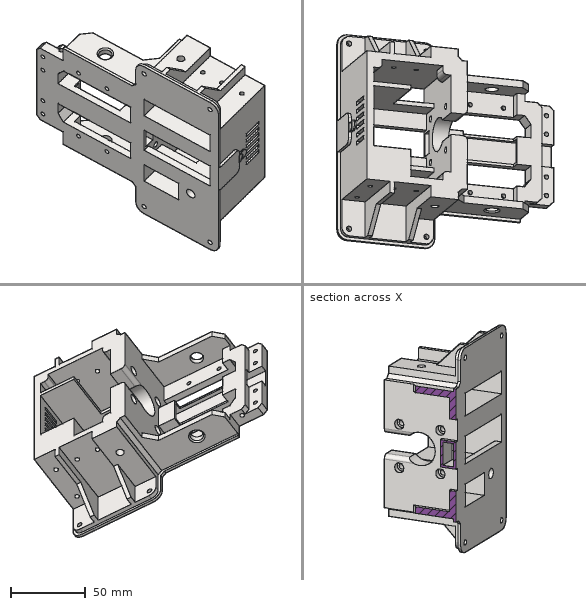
import cadquery as cq


LENGTH = 152.0
DEPTH = 55.0
HEIGHT = 144.0
FLOOR = 5.0
WALL = 5.0
LIP = 2.0
EPS = 0.01

FLANGE_X0 = 82.9
FLANGE_RADIUS = 7.0
BODY_RADIUS = 5.5
BODY_X0 = FLANGE_X0 + LIP
BODY_X1 = LENGTH - LIP
BOX_X0 = 78.4
CAVITY_X0 = BODY_X0 + WALL
CAVITY_X1 = BODY_X1 - WALL
CAVITY_Z = 40.0
OUTER_Z = CAVITY_Z + WALL

TRAY_X0 = 22.0
TRAY_RIM = 6.0
RIM_DEPTH = 11.8
TAB_DEPTH = 7.0
TAB_Z = 35.0
TAB_STEP_X = 10.2
TAB_CHAMFER = 3.0
SIDE_DEPTH = 25.0
SIDE_CHAMFER = 6.4
SIDE_RISE = 8.0
FLANGE_CHAMFER = 3.0

BLOCK_Z = 52.9
BLOCK_X1 = 104.4
BLOCK_CHAMFER = 2.8
RIB_X0 = 130.3
GUSSET_THICKNESS = 3.2
GUSSET_TIP_Z = HEIGHT / 2 - LIP
GUSSET_TIP_DEPTH = 10.2

TRAY_WINDOW_X0 = 17.9
TRAY_WINDOW_Z0 = 9.8
TRAY_WINDOW_Z1 = 25.0
TRAY_WINDOW_CHAMFER_X = 4.5
TRAY_WINDOW_CHAMFER_Z = 5.8
SMALL_WINDOW_X1 = 118.7

SHELF_THICKNESS = 3.0
SHELF_Z1 = 24.0
SHELF_NOTCH_Y = 20.0

CABLE_HALF_WIDTH = 8.0
CABLE_Y0 = 2.2
CABLE_Y1 = 9.8
CABLE_BRIDGE_X0 = 66.0
PORT_RADIUS = 11.6
PORT_Y = 28.4
PORT_SLOT_HALF = 7.6
PORT_FILLET = 3.1

VENT_PITCH = 5.55
VENT_COUNT = 6
VENT_HEIGHT = 2.5
VENT_Y0 = 34.4
VENT_Y1 = 48.4

POST_SIZE = 6.0
POST_RADIUS = 3.0
POST_DEPTH = 18.0

FLANGE_HOLE = 3.5
SMALL_HOLE = 3.0
FLANGE_HOLE_INSET = FLANGE_RADIUS
FLANGE_HOLE_SPACING_Z = 130.0
TAB_HOLE_X = 5.2
TAB_HOLES_Z = (15.0, 28.0)
TRAY_HOLES_X = (35.0, 58.8)
TRAY_HOLE_Z = 30.8
TAB_SIDE_HOLE_X = 15.5
TAB_SIDE_HOLE_DEPTH = 8.0
SIDE_HOLE_X = 46.7
SIDE_HOLE_Y = 14.5
SIDE_HOLE = 9.0
SIDE_HOLE_CHAMFER = 1.0
BLOCK_HOLE_X = 94.5
BLOCK_HOLE_Y = 35.1
BLOCK_HOLE = 5.3
BLOCK_HOLE_DEPTH = 10.0
BOX_WALL_HOLES = ((109.4, 39.8), (125.4, 39.8), (142.1, 39.8), (142.1, 13.0))
FACE_HOLE_X = 128.9
FACE_HOLE_Z = -27.5
FACE_HOLE = 7.0
FACE_HOLE_DEPTH = 10.0
END_SCREW_HOLE = 4.0
END_SCREW_HEAD = 6.8
END_SCREW_HEAD_DEPTH = 4.0
END_SCREW_Z = 15.3
END_SCREWS_Y = (13.0, 43.8)

END_PAD_DEPTH = 23.8
END_PAD_HALF_WIDTH = 11.0
END_PAD_RADIUS = 4.0
END_DISCS = ((29.2, 3.7, 1.0), (24.9, 3.4, 1.5))


def box(x0, x1, y0, y1, z0, z1):
    return cq.Workplane("XY").box(x1 - x0, y1 - y0, z1 - z0, centered=False).translate((x0, y0, z0))


def mid_box(x0, x1, y0, y1, half_z):
    return box(x0, x1, y0, y1, -half_z, half_z)


def face_plane(y):
    """Sketch plane parallel to the mounting face; a negative extrusion runs towards +Y."""
    return cq.Workplane("XZ", origin=(0, y, 0))


def face_outline(points, y0, y1):
    return face_plane(y0).polyline(points).close().extrude(y0 - y1)


def plan_outline(points, z0, z1):
    return cq.Workplane("XY", origin=(0, 0, z0)).polyline(points).close().extrude(z1 - z0)


def cylinder_x(x0, x1, y, z, radius):
    return cq.Workplane("YZ", origin=(x0, y, z)).circle(radius).extrude(x1 - x0)


def cylinder_y(x, z, y0, y1, radius):
    return cq.Workplane("XZ", origin=(x, y0, z)).circle(radius).extrude(y0 - y1)


def cylinder_z(x, y, z0, z1, radius):
    return cq.Workplane("XY", origin=(x, y, z0)).circle(radius).extrude(z1 - z0)


def both_sides(shape):
    """The shape together with its mirror image about Z = 0."""
    return shape.union(shape.mirror("XY"))


def flange():
    half = HEIGHT / 2
    lip = mid_box(FLANGE_X0, LENGTH, 0, LIP, half).edges("|Y").fillet(FLANGE_RADIUS)
    body = mid_box(BODY_X0, BODY_X1, 0, FLOOR, half - LIP).edges("|Y").fillet(BODY_RADIUS)
    tray_z = OUTER_Z + LIP
    tray_lip = mid_box(TRAY_X0, FLANGE_X0, 0, LIP, tray_z)
    corner = face_outline(
        [
            (FLANGE_X0 - FLANGE_CHAMFER, tray_z),
            (FLANGE_X0, tray_z + FLANGE_CHAMFER),
            (FLANGE_X0 + FLANGE_CHAMFER, tray_z),
        ],
        0,
        LIP,
    )
    return lip.union(body).union(tray_lip).union(both_sides(corner))


def tab():
    thin = mid_box(0, TRAY_X0, 0, TAB_DEPTH, TAB_Z)
    thick = mid_box(TAB_STEP_X, TRAY_X0 + TRAY_RIM, 0, RIM_DEPTH, TAB_Z)
    thin = thin.edges("|Y and <X").chamfer(TAB_CHAMFER)
    thick = thick.edges("|Y and <X").chamfer(TAB_CHAMFER)
    return thin.union(thick)


def tray():
    base = mid_box(TRAY_X0, BODY_X0, 0, FLOOR, OUTER_Z)
    rim = mid_box(TRAY_X0, TRAY_X0 + TRAY_RIM, 0, RIM_DEPTH, OUTER_Z)
    bridge = mid_box(CABLE_BRIDGE_X0, BOX_X0, 0, RIM_DEPTH, TRAY_WINDOW_Z0)
    side = plan_outline(
        [
            (TRAY_X0, 0),
            (TRAY_X0, SIDE_DEPTH - SIDE_CHAMFER),
            (TRAY_X0 + SIDE_CHAMFER, SIDE_DEPTH),
            (BOX_X0 - SIDE_RISE, SIDE_DEPTH),
            (BOX_X0, SIDE_DEPTH + SIDE_RISE),
            (BOX_X0, 0),
        ],
        CAVITY_Z,
        OUTER_Z,
    )
    return base.union(rim).union(bridge).union(both_sides(side))


def box_shell():
    shell = mid_box(BOX_X0, BODY_X1, 0, DEPTH, OUTER_Z)
    cavity = mid_box(CAVITY_X0, CAVITY_X1, FLOOR, DEPTH + EPS, CAVITY_Z)
    return shell.cut(cavity)


def shelves():
    shelf = box(CAVITY_X0, CAVITY_X1, 0, DEPTH, SHELF_Z1 - SHELF_THICKNESS, SHELF_Z1)
    notch = box(CAVITY_X0, SMALL_WINDOW_X1, SHELF_NOTCH_Y, DEPTH, 0, SHELF_Z1)
    return both_sides(shelf.cut(notch))


def corner_block():
    """Solid lower far corner of the box; it exists on the -Z side only."""
    return box(SMALL_WINDOW_X1, CAVITY_X1, 0, DEPTH, -CAVITY_Z, -SHELF_Z1)


def near_post():
    """Upper post against the thick end wall; its face towards the floor slopes at 45 degrees."""
    x1 = CAVITY_X0 + POST_SIZE
    y0 = DEPTH - POST_DEPTH
    z0 = CAVITY_Z - POST_SIZE
    post = box(CAVITY_X0, x1, y0, DEPTH, z0, CAVITY_Z)
    post = post.edges("|Y and >X and <Z").fillet(POST_RADIUS)
    slope = plan_outline(
        [(CAVITY_X0, y0), (x1, y0 + POST_SIZE), (x1, y0)],
        z0,
        CAVITY_Z,
    )
    return post.cut(slope)


def corner_posts():
    """Posts in three corners; the fourth corner is the solid block."""
    post = near_post()
    centre = ((CAVITY_X0 + CAVITY_X1) / 2, 0, 0)
    return both_sides(post).union(post.mirror("YZ", centre))


def outside_stiffeners():
    block = face_outline(
        [
            (BODY_X0 - BLOCK_CHAMFER, OUTER_Z),
            (BODY_X0, OUTER_Z + BLOCK_CHAMFER),
            (BODY_X0, BLOCK_Z),
            (BLOCK_X1, BLOCK_Z),
            (BLOCK_X1, OUTER_Z),
        ],
        LIP,
        DEPTH,
    )
    rib = box(RIB_X0, RIB_X0 + GUSSET_THICKNESS, LIP, DEPTH, OUTER_Z, BLOCK_Z)
    stiffeners = block.union(rib)
    slope_run = GUSSET_TIP_Z - OUTER_Z
    for x in (BLOCK_X1 - GUSSET_THICKNESS, RIB_X0):
        gusset = (
            cq.Workplane("YZ", origin=(x, 0, 0))
            .moveTo(LIP, OUTER_Z)
            .lineTo(LIP, GUSSET_TIP_Z)
            .lineTo(GUSSET_TIP_DEPTH, GUSSET_TIP_Z)
            .lineTo(GUSSET_TIP_DEPTH + slope_run, OUTER_Z)
            .close()
            .extrude(GUSSET_THICKNESS)
        )
        stiffeners = stiffeners.union(gusset)
    return both_sides(stiffeners)


def end_pads():
    pads = mid_box(BODY_X1, LENGTH, 0, END_PAD_DEPTH, END_PAD_HALF_WIDTH)
    pads = pads.edges("|X and >Y").fillet(END_PAD_RADIUS)
    for y, radius, height in END_DISCS:
        pads = pads.union(cylinder_x(BODY_X1, BODY_X1 + height, y, 0, radius))
    return pads


def floor_windows():
    tray_window = face_outline(
        [
            (TRAY_WINDOW_X0, TRAY_WINDOW_Z0),
            (BOX_X0, TRAY_WINDOW_Z0),
            (BOX_X0, TRAY_WINDOW_Z1),
            (TRAY_WINDOW_X0 + TRAY_WINDOW_CHAMFER_X, TRAY_WINDOW_Z1),
            (TRAY_WINDOW_X0, TRAY_WINDOW_Z1 - TRAY_WINDOW_CHAMFER_Z),
        ],
        -EPS,
        RIM_DEPTH + EPS,
    )
    middle = mid_box(CAVITY_X0, CAVITY_X1, -EPS, FLOOR + EPS, TRAY_WINDOW_Z0)
    upper = box(CAVITY_X0, CAVITY_X1, -EPS, FLOOR + EPS, SHELF_Z1, CAVITY_Z)
    lower = box(CAVITY_X0, SMALL_WINDOW_X1, -EPS, FLOOR + EPS, -CAVITY_Z, -SHELF_Z1)
    return both_sides(tray_window).union(middle).union(upper).union(lower)


def cable_passage():
    """Channel along the tray into the box, and the round port with its side entry."""
    channel = mid_box(-EPS, CAVITY_X0 + EPS, CABLE_Y0, CABLE_Y1, CABLE_HALF_WIDTH)
    port = cylinder_x(BOX_X0 - EPS, CAVITY_X0 + EPS, PORT_Y, 0, PORT_RADIUS)
    edge_x = BOX_X0 + PORT_FILLET
    edge_z = PORT_SLOT_HALF + PORT_FILLET
    entry = (
        face_plane(PORT_Y)
        .moveTo(BOX_X0, -edge_z)
        .radiusArc((edge_x, -PORT_SLOT_HALF), PORT_FILLET)
        .lineTo(CAVITY_X0 + EPS, -PORT_SLOT_HALF)
        .lineTo(CAVITY_X0 + EPS, PORT_SLOT_HALF)
        .lineTo(edge_x, PORT_SLOT_HALF)
        .radiusArc((BOX_X0, edge_z), PORT_FILLET)
        .close()
        .extrude(PORT_Y - DEPTH - EPS)
    )
    return channel.union(port).union(entry)


def vents():
    slots = cq.Workplane("XY")
    for i in range(VENT_COUNT):
        z = (i - (VENT_COUNT - 1) / 2) * VENT_PITCH
        slot = mid_box(CAVITY_X1 - EPS, BODY_X1 + EPS, VENT_Y0, VENT_Y1, VENT_HEIGHT / 2)
        slots = slots.union(slot.translate((0, 0, z)))
    return slots


def face_holes():
    """Holes drilled from the mounting face."""
    through = TAB_DEPTH + EPS
    holes = cylinder_y(FACE_HOLE_X, FACE_HOLE_Z, -EPS, FACE_HOLE_DEPTH, FACE_HOLE / 2)
    places = []
    for x in (FLANGE_X0 + FLANGE_HOLE_INSET, LENGTH - FLANGE_HOLE_INSET):
        places.append((x, FLANGE_HOLE_SPACING_Z / 2, FLANGE_HOLE))
    for z in TAB_HOLES_Z:
        places.append((TAB_HOLE_X, z, SMALL_HOLE))
    for x in TRAY_HOLES_X:
        places.append((x, TRAY_HOLE_Z, SMALL_HOLE))
    for x, z, diameter in places:
        holes = holes.union(both_sides(cylinder_y(x, z, -EPS, through, diameter / 2)))
    return holes


def side_holes():
    """Holes drilled from above and, mirrored, from below."""
    side_hole = cylinder_z(SIDE_HOLE_X, SIDE_HOLE_Y, CAVITY_Z - EPS, OUTER_Z, SIDE_HOLE / 2)
    countersink = (
        cylinder_z(SIDE_HOLE_X, SIDE_HOLE_Y, OUTER_Z - SIDE_HOLE_CHAMFER, OUTER_Z,
                   SIDE_HOLE / 2 + SIDE_HOLE_CHAMFER)
        .faces("<Z")
        .chamfer(SIDE_HOLE_CHAMFER - EPS)
    )
    holes = side_hole.union(countersink)
    tab_hole_z = TAB_Z - TAB_SIDE_HOLE_DEPTH
    holes = holes.union(cylinder_z(TAB_SIDE_HOLE_X, TAB_DEPTH, tab_hole_z, TAB_Z, SMALL_HOLE / 2))
    block_hole_z = BLOCK_Z - BLOCK_HOLE_DEPTH
    holes = holes.union(cylinder_z(BLOCK_HOLE_X, BLOCK_HOLE_Y, block_hole_z, BLOCK_Z, BLOCK_HOLE / 2))
    for x, y in BOX_WALL_HOLES:
        holes = holes.union(cylinder_z(x, y, CAVITY_Z - EPS, OUTER_Z, SMALL_HOLE / 2))
    return both_sides(holes)


def end_wall_screws():
    holes = cq.Workplane("XY")
    for y in END_SCREWS_Y:
        holes = holes.union(cylinder_x(BOX_X0 - EPS, CAVITY_X0 + EPS, y, END_SCREW_Z, END_SCREW_HOLE / 2))
        head_end = BOX_X0 + END_SCREW_HEAD_DEPTH
        holes = holes.union(cylinder_x(BOX_X0 - EPS, head_end, y, END_SCREW_Z, END_SCREW_HEAD / 2))
    return both_sides(holes)


part = flange()
for feature in (tab(), tray(), box_shell(), shelves(), corner_block(), corner_posts(),
                outside_stiffeners(), end_pads()):
    part = part.union(feature)
for opening in (floor_windows(), cable_passage(), vents(), face_holes(), side_holes(),
                end_wall_screws()):
    part = part.cut(opening)

result = part